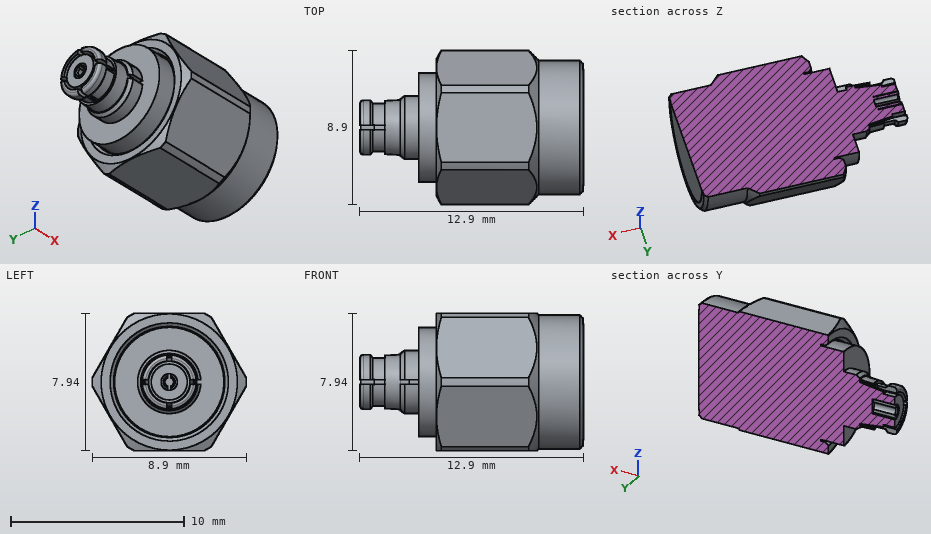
import cadquery as cq
import math


HEAD_RADIUS = 1.58
NECK_RADIUS = 2.79 / 2
HEAD_FRONT_FILLET = 0.2
HEAD_BACK_START = 0.59
NECK_START = 0.75
BARREL_START = 1.44
BARREL_FRONT_RADIUS = 1.55
BARREL_BACK_RADIUS = 1.595

COLLAR_START = 2.33
COLLAR_RADIUS = 1.825
COLLAR_CHAMFER_LENGTH = 0.24
COLLAR_FACE_RADIUS = 1.65
FLANGE_START = 3.38
FLANGE_RADIUS = 6.3 / 2

NUT_START = 4.39
ACROSS_FLATS = 7.94
CORNER_RADIUS = 8.9 / 2
HEX_TURN = 30
NUT_FACE_RADIUS = 3.93
NUT_FRONT_CHAMFER_ANGLE = 30
SLEEVE_START = 10.295
SLEEVE_RADIUS = 7.75 / 2
NUT_END = 12.86
SLEEVE_CHAMFER = 0.2
END_RIM_RADIUS = 6.65 / 2
TOTAL_LENGTH = 12.89

CLEARANCE_RADIUS = 6.42 / 2
CLEARANCE_DEPTH = 0.5
COUNTERSINK_RADIUS = 3.41

BORE_MOUTH_RADIUS = 1.22
BORE_FLOOR_RADIUS = 1.195
BORE_DEPTH = 0.82
DIELECTRIC_FRONT = 0.04
DIELECTRIC_RADIUS = 2.08 / 2

CONTACT_SEAT_RADIUS = 0.95 / 2
CONTACT_RADIUS = 0.93 / 2
CONTACT_MOUTH_RADIUS = 0.34
CONTACT_HOLE_RADIUS = 0.25
CONTACT_DEPTH = 1.5
CONTACT_SLOT_WIDTH = 0.185

SLOT_WIDTH = 0.27
HEAD_SLOT_COUNT = 4
HEAD_SLOT_END_RADIUS = 1.4
BARREL_BORE_RADIUS = 1.46
COLLAR_SLOT_STEP = 2.845


def revolve_profile(profile):
    """Revolve an XY half profile about the X axis."""
    return profile.close().revolve(360, (0, 0, 0), (1, 0, 0))


def cylinder(start, end, radius):
    return cq.Workplane("YZ", origin=(start, 0, 0)).circle(radius).extrude(end - start)


def frustum(start, end, start_radius, end_radius):
    return revolve_profile(
        cq.Workplane("XY")
        .moveTo(start, 0)
        .lineTo(start, start_radius)
        .lineTo(end, end_radius)
        .lineTo(end, 0)
    )


def make_socket():
    fillet_shift = HEAD_FRONT_FILLET * (1 - math.sqrt(0.5))
    profile = (
        cq.Workplane("XY")
        .lineTo(0, HEAD_RADIUS - HEAD_FRONT_FILLET)
        .threePointArc((fillet_shift, HEAD_RADIUS - fillet_shift), (HEAD_FRONT_FILLET, HEAD_RADIUS))
        .lineTo(HEAD_BACK_START, HEAD_RADIUS)
        .lineTo(NECK_START, NECK_RADIUS)
        .lineTo(BARREL_START, NECK_RADIUS)
        .lineTo(BARREL_START, BARREL_FRONT_RADIUS)
        .lineTo(COLLAR_START, BARREL_BACK_RADIUS)
        .lineTo(COLLAR_START, COLLAR_FACE_RADIUS)
        .lineTo(COLLAR_START + COLLAR_CHAMFER_LENGTH, COLLAR_RADIUS)
        .lineTo(FLANGE_START, COLLAR_RADIUS)
        .lineTo(FLANGE_START, FLANGE_RADIUS)
        .lineTo(NUT_START + CLEARANCE_DEPTH, FLANGE_RADIUS)
        .lineTo(NUT_START + CLEARANCE_DEPTH, 0)
    )
    return revolve_profile(profile)


def make_nut():
    front_chamfer_slope = math.tan(math.radians(NUT_FRONT_CHAMFER_ANGLE))
    front_chamfer_length = (CORNER_RADIUS - NUT_FACE_RADIUS) * front_chamfer_slope
    back_chamfer = CORNER_RADIUS - SLEEVE_RADIUS
    envelope = revolve_profile(
        cq.Workplane("XY")
        .moveTo(NUT_START, 0)
        .lineTo(NUT_START, NUT_FACE_RADIUS)
        .lineTo(NUT_START + front_chamfer_length, CORNER_RADIUS)
        .lineTo(SLEEVE_START - back_chamfer, CORNER_RADIUS)
        .lineTo(SLEEVE_START, SLEEVE_RADIUS)
        .lineTo(NUT_END - SLEEVE_CHAMFER, SLEEVE_RADIUS)
        .lineTo(NUT_END, SLEEVE_RADIUS - SLEEVE_CHAMFER)
        .lineTo(NUT_END, 0)
    )
    hexagon = (
        cq.Workplane("YZ", origin=(NUT_START, 0, 0))
        .polygon(6, ACROSS_FLATS, circumscribed=True)
        .extrude(NUT_END - NUT_START)
        .rotate((0, 0, 0), (1, 0, 0), HEX_TURN)
    )
    rim = cylinder(NUT_END, TOTAL_LENGTH, END_RIM_RADIUS)
    return envelope.intersect(hexagon).union(rim)


def make_clearance():
    countersink_depth = COUNTERSINK_RADIUS - CLEARANCE_RADIUS
    return revolve_profile(
        cq.Workplane("XY")
        .moveTo(NUT_START, 0)
        .lineTo(NUT_START, COUNTERSINK_RADIUS)
        .lineTo(NUT_START + countersink_depth, CLEARANCE_RADIUS)
        .lineTo(NUT_START + CLEARANCE_DEPTH, CLEARANCE_RADIUS)
        .lineTo(NUT_START + CLEARANCE_DEPTH, 0)
    )


def slot_box(start, end, angle):
    """Radial box from the axis out to the flange radius; angle 0 points along -Y."""
    box = cq.Workplane("XY").box(
        end - start, FLANGE_RADIUS, SLOT_WIDTH, centered=(False, False, True)
    )
    return box.translate((start, -FLANGE_RADIUS, 0)).rotate((0, 0, 0), (1, 0, 0), angle)


def cut_bore(body):
    bore = frustum(0, BORE_DEPTH, BORE_MOUTH_RADIUS, BORE_FLOOR_RADIUS)
    dielectric = cylinder(DIELECTRIC_FRONT, BORE_DEPTH, DIELECTRIC_RADIUS)
    return body.cut(bore.cut(dielectric))


def cut_head_slots(body):
    core = cylinder(0, BORE_DEPTH, BORE_FLOOR_RADIUS).union(
        frustum(BORE_DEPTH, COLLAR_START, BORE_FLOOR_RADIUS, HEAD_SLOT_END_RADIUS)
    )
    reach = cylinder(0, BARREL_START, HEAD_RADIUS).union(
        cylinder(BARREL_START, COLLAR_START, BARREL_BORE_RADIUS)
    )
    slot_space = reach.cut(core)
    for i in range(HEAD_SLOT_COUNT):
        angle = i * 360 / HEAD_SLOT_COUNT
        body = body.cut(slot_box(0, COLLAR_START, angle).intersect(slot_space))
    return body


def cut_collar_slot(body):
    floor = cylinder(COLLAR_START, COLLAR_SLOT_STEP, BARREL_BACK_RADIUS).union(
        cylinder(COLLAR_SLOT_STEP, FLANGE_START, NECK_RADIUS)
    )
    return body.cut(slot_box(COLLAR_START, FLANGE_START, 0).cut(floor))


def make_contact():
    mouth_end = DIELECTRIC_FRONT + CONTACT_MOUTH_RADIUS - CONTACT_HOLE_RADIUS
    slot = (
        cq.Workplane("YZ", origin=(DIELECTRIC_FRONT, 0, 0))
        .rect(CONTACT_SLOT_WIDTH, 2 * CONTACT_SEAT_RADIUS)
        .extrude(CONTACT_DEPTH)
    )
    return (
        cylinder(DIELECTRIC_FRONT, DIELECTRIC_FRONT + CONTACT_DEPTH, CONTACT_RADIUS)
        .cut(frustum(DIELECTRIC_FRONT, mouth_end, CONTACT_MOUTH_RADIUS, CONTACT_HOLE_RADIUS))
        .cut(cylinder(mouth_end, DIELECTRIC_FRONT + CONTACT_DEPTH, CONTACT_HOLE_RADIUS))
        .cut(slot)
    )


nut = make_nut().cut(make_clearance())
body = cut_collar_slot(cut_head_slots(cut_bore(nut.union(make_socket()))))
contact_seat = cylinder(0, DIELECTRIC_FRONT + CONTACT_DEPTH, CONTACT_SEAT_RADIUS)
result = body.cut(contact_seat).union(make_contact())